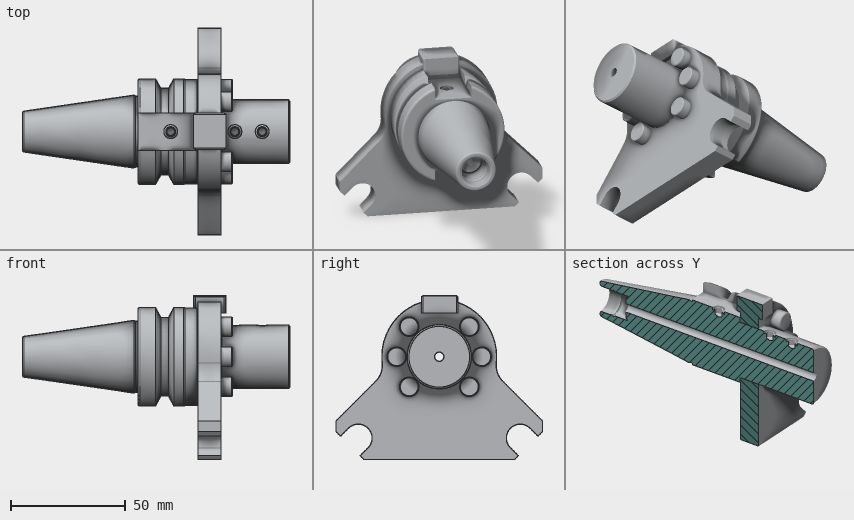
import cadquery as cq
import math


HOLDER_LENGTH = 116.4
TAPER_LENGTH = 48.4
TAPER_RADIUS = 31.8 / 2
TAPER_SLOPE = 7 / 48
TAPER_END_FILLET = 0.9
NECK_RADIUS = 15.5
NECK_BEVEL = 0.8
FLANGE_START = 50.2
FLANGE_RADIUS = 46.0 / 2
FLANGE_FILLET = 1.0
GROOVE_START = 57.9
GROOVE_WIDTH = 8.0
GROOVE_FLOOR_RADIUS = 19.0
GROOVE_ANGLE = 60
REAR_COLLAR_START = 70.1
REAR_COLLAR_STEP = 0.2
REAR_COLLAR_BEVEL_LENGTH = 0.7
REAR_COLLAR_CHAMFER = 0.3
PILOT_RADIUS = 28.0 / 2
PILOT_STAND_OUT = 0.3
NOSE_RADIUS = 27.8 / 2
NOSE_CHAMFER = 0.7

SLOT_WIDTH = 16.3
SLOT_FLOOR = 16.3

MOUTH_DIAMETER = 14.4
MOUTH_DEPTH = 0.6
ENTRY_DIAMETER = 12.5
ENTRY_DEPTH = 5.4
THREAD_DIAMETER = 12.0
THREAD_START = 6.0
RELIEF_START = 7.2
RELIEF_WIDTH = 0.5
RELIEF_DIAMETER = 12.9
STOP_START = 14.0
STOP_FACE_DIAMETER = 9.8
COOLANT_DIAMETER = 4.0

SCREW_DIAMETER = 6.0
SCREW_TOP_DIAMETER = 4.3
SCREW_RECESS = 0.5
SOCKET_FLATS = 3.4
SOCKET_DEPTH = 2.6
SOCKET_POINT_DEPTH = 0.7
FLANGE_SCREW_X = 64.5
NOSE_SCREW_XS = (92.4, 104.3)

PLATE_START = 76.4
PLATE_THICKNESS = 10.1
PLATE_RADIUS = 25.0
OVERALL_HEIGHT = 71.5
PLATE_BOTTOM = -44.8
PLATE_HALF_WIDTH = 90.0 / 2
SHOULDER_ANGLE = 45
SHOULDER_SUM = 17.0
SHOULDER_FILLET = 9.9
CORNER_DIFFERENCE = 77.5
FORK_DIAMETER = 12.0
FORK_Y = 35.3
FORK_Z = -35.4
KEY_START = 74.5
KEY_LENGTH = 14.0
KEY_SIDES = (-7.8, SLOT_WIDTH / 2)
KEY_BOTTOM = 19.0
KEY_TOP = PLATE_BOTTOM + OVERALL_HEIGHT
KEY_CHAMFER = 0.7

BOLT_HEAD_DIAMETER = 8.5
BOLT_HEAD_LENGTH = 4.9
BOLT_HEAD_CHAMFER = 0.3
BOLT_CIRCLE_RADIUS = 18.5
BOLT_ANGLES = (-45, 0, 45, 135, 180, 225)

PLATE_END = PLATE_START + PLATE_THICKNESS


def revolve_about_x(points):
    """Solid of revolution about X from (x, radius) points."""
    return cq.Workplane("XY").polyline(points).close().revolve(360, (0, 0, 0), (1, 0, 0))


def taper_shank():
    small_end_radius = TAPER_RADIUS - TAPER_LENGTH * TAPER_SLOPE
    shank = revolve_about_x([
        (0, 0),
        (0, small_end_radius),
        (TAPER_LENGTH, TAPER_RADIUS),
        (TAPER_LENGTH + NECK_BEVEL, NECK_RADIUS),
        (FLANGE_START, NECK_RADIUS),
        (FLANGE_START, 0),
    ])
    return shank.faces("<X").edges().fillet(TAPER_END_FILLET)


def flange_and_nose():
    groove_side = (FLANGE_RADIUS - GROOVE_FLOOR_RADIUS) * math.tan(math.radians(GROOVE_ANGLE / 2))
    groove_end = GROOVE_START + GROOVE_WIDTH
    collar_radius = FLANGE_RADIUS - REAR_COLLAR_STEP
    pilot_end = PLATE_END + PILOT_STAND_OUT
    body = revolve_about_x([
        (FLANGE_START, 0),
        (FLANGE_START, FLANGE_RADIUS),
        (GROOVE_START, FLANGE_RADIUS),
        (GROOVE_START + groove_side, GROOVE_FLOOR_RADIUS),
        (groove_end - groove_side, GROOVE_FLOOR_RADIUS),
        (groove_end, FLANGE_RADIUS),
        (REAR_COLLAR_START, FLANGE_RADIUS),
        (REAR_COLLAR_START + REAR_COLLAR_BEVEL_LENGTH, collar_radius),
        (PLATE_START - REAR_COLLAR_CHAMFER, collar_radius),
        (PLATE_START, collar_radius - REAR_COLLAR_CHAMFER),
        (PLATE_START, PILOT_RADIUS),
        (pilot_end, PILOT_RADIUS),
        (pilot_end, NOSE_RADIUS),
        (HOLDER_LENGTH - NOSE_CHAMFER, NOSE_RADIUS),
        (HOLDER_LENGTH, NOSE_RADIUS - NOSE_CHAMFER),
        (HOLDER_LENGTH, 0),
    ])
    return body.faces("<X").edges().fillet(FLANGE_FILLET)


def drive_slot(side):
    """Cut for the slot above (side 1) or below (side -1) the axis."""
    slot_depth = FLANGE_RADIUS - SLOT_FLOOR
    return (
        cq.Workplane("XY")
        .box(PLATE_START - FLANGE_START, SLOT_WIDTH, slot_depth, centered=(False, True, True))
        .translate((FLANGE_START, 0, side * (SLOT_FLOOR + slot_depth / 2)))
    )


def taper_bore():
    relief_end = RELIEF_START + RELIEF_WIDTH
    relief_bevel = (RELIEF_DIAMETER - THREAD_DIAMETER) / 2
    stop_bevel = (THREAD_DIAMETER - STOP_FACE_DIAMETER) / 2
    return revolve_about_x([
        (0, 0),
        (0, MOUTH_DIAMETER / 2),
        (MOUTH_DEPTH, ENTRY_DIAMETER / 2),
        (ENTRY_DEPTH, ENTRY_DIAMETER / 2),
        (THREAD_START, THREAD_DIAMETER / 2),
        (RELIEF_START, THREAD_DIAMETER / 2),
        (RELIEF_START, RELIEF_DIAMETER / 2),
        (relief_end, RELIEF_DIAMETER / 2),
        (relief_end + relief_bevel, THREAD_DIAMETER / 2),
        (STOP_START + stop_bevel, THREAD_DIAMETER / 2),
        (STOP_START, STOP_FACE_DIAMETER / 2),
        (STOP_START, COOLANT_DIAMETER / 2),
        (HOLDER_LENGTH, COOLANT_DIAMETER / 2),
        (HOLDER_LENGTH, 0),
    ])


def screw_recess(x, surface_z):
    """Cut that leaves a bevelled screw top with a hexagon socket just below surface_z."""
    hole_radius = SCREW_DIAMETER / 2
    top_radius = SCREW_TOP_DIAMETER / 2
    bevel_depth = hole_radius - top_radius
    top_z = -SCREW_RECESS
    hole_top = SCREW_RECESS
    ring = (
        cq.Workplane("XZ")
        .polyline([
            (0, hole_top),
            (hole_radius, hole_top),
            (hole_radius, top_z - bevel_depth),
            (top_radius, top_z),
            (0, top_z),
        ])
        .close()
        .revolve(360, (0, 0, 0), (0, 1, 0))
    )
    socket = (
        cq.Workplane("XY", origin=(0, 0, top_z))
        .polygon(6, SOCKET_FLATS, circumscribed=True)
        .extrude(-SOCKET_DEPTH)
    )
    point = cq.Workplane(cq.Solid.makeCone(
        SOCKET_FLATS / 2, 0, SOCKET_POINT_DEPTH,
        pnt=cq.Vector(0, 0, top_z - SOCKET_DEPTH), dir=cq.Vector(0, 0, -1),
    ))
    return ring.union(socket).union(point).translate((x, 0, surface_z))


def make_holder():
    holder = taper_shank().union(flange_and_nose())
    for side in (1, -1):
        holder = holder.cut(drive_slot(side))
    holder = holder.cut(taper_bore())
    holder = holder.cut(screw_recess(FLANGE_SCREW_X, SLOT_FLOOR))
    for x in NOSE_SCREW_XS:
        holder = holder.cut(screw_recess(x, NOSE_RADIUS))
    return holder


def plate_outline():
    """Plate profile in Y and Z: a disc flowing through concave fillets into a wide fork foot."""
    centre_distance = PLATE_RADIUS + SHOULDER_FILLET
    line_distance = SHOULDER_SUM / math.sqrt(2) + SHOULDER_FILLET
    centre_angle = math.radians(SHOULDER_ANGLE) - math.acos(line_distance / centre_distance)
    centre_y = centre_distance * math.cos(centre_angle)
    centre_z = centre_distance * math.sin(centre_angle)

    def on_fillet(angle):
        return (
            centre_y + SHOULDER_FILLET * math.cos(angle),
            centre_z + SHOULDER_FILLET * math.sin(angle),
        )

    def mirrored(point):
        return (-point[0], point[1])

    disc_angle = centre_angle + math.pi
    shoulder_angle = math.radians(180 + SHOULDER_ANGLE)
    disc_end = on_fillet(disc_angle)
    fillet_middle = on_fillet((disc_angle + shoulder_angle) / 2)
    shoulder_start = on_fillet(shoulder_angle)
    tip_top = (PLATE_HALF_WIDTH, SHOULDER_SUM - PLATE_HALF_WIDTH)
    tip_bottom = (PLATE_HALF_WIDTH, PLATE_HALF_WIDTH - CORNER_DIFFERENCE)
    foot = (CORNER_DIFFERENCE + PLATE_BOTTOM, PLATE_BOTTOM)
    return (
        cq.Workplane("YZ", origin=(PLATE_START, 0, 0))
        .moveTo(*mirrored(disc_end))
        .threePointArc((0, PLATE_RADIUS), disc_end)
        .threePointArc(fillet_middle, shoulder_start)
        .lineTo(*tip_top)
        .lineTo(*tip_bottom)
        .lineTo(*foot)
        .lineTo(*mirrored(foot))
        .lineTo(*mirrored(tip_bottom))
        .lineTo(*mirrored(tip_top))
        .lineTo(*mirrored(shoulder_start))
        .threePointArc(mirrored(fillet_middle), mirrored(disc_end))
        .close()
    )


def fork_slot(side):
    """Round-ended slot that opens outward and down at 45 degrees; side is the sign of Y."""
    length = 2 * FORK_DIAMETER
    round_end = cq.Workplane("YZ").circle(FORK_DIAMETER / 2).extrude(PLATE_THICKNESS)
    channel = (
        cq.Workplane("YZ")
        .center(length / 2, 0)
        .rect(length, FORK_DIAMETER)
        .extrude(PLATE_THICKNESS)
    )
    direction = -45 if side > 0 else -135
    return (
        round_end.union(channel)
        .rotate((0, 0, 0), (1, 0, 0), direction)
        .translate((PLATE_START, side * FORK_Y, FORK_Z))
    )


def key_block():
    low_y, high_y = KEY_SIDES
    return (
        cq.Workplane("XY")
        .box(KEY_LENGTH, high_y - low_y, KEY_TOP - KEY_BOTTOM, centered=False)
        .translate((KEY_START, low_y, KEY_BOTTOM))
        .edges("|Z or (|X and >Z)")
        .chamfer(KEY_CHAMFER)
    )


def make_plate():
    plate = plate_outline().extrude(PLATE_THICKNESS)
    pilot_hole = (
        cq.Workplane("YZ", origin=(PLATE_START, 0, 0))
        .circle(PILOT_RADIUS)
        .extrude(PLATE_THICKNESS)
    )
    plate = plate.cut(pilot_hole)
    for side in (1, -1):
        plate = plate.cut(fork_slot(side))
    return plate.union(key_block())


def make_bolt(angle):
    """Screw head seated on the rear face of the plate, at an angle from +Y."""
    turn = math.radians(angle)
    y = BOLT_CIRCLE_RADIUS * math.cos(turn)
    z = BOLT_CIRCLE_RADIUS * math.sin(turn)
    return (
        cq.Workplane("YZ", origin=(PLATE_END, y, z))
        .circle(BOLT_HEAD_DIAMETER / 2)
        .extrude(BOLT_HEAD_LENGTH)
        .faces(">X")
        .edges()
        .chamfer(BOLT_HEAD_CHAMFER)
    )


holder = make_holder()
plate = make_plate()
bolts = [make_bolt(angle) for angle in BOLT_ANGLES]

result = cq.Compound.makeCompound([
    holder.val(),
    plate.val(),
    *[bolt.val() for bolt in bolts],
])